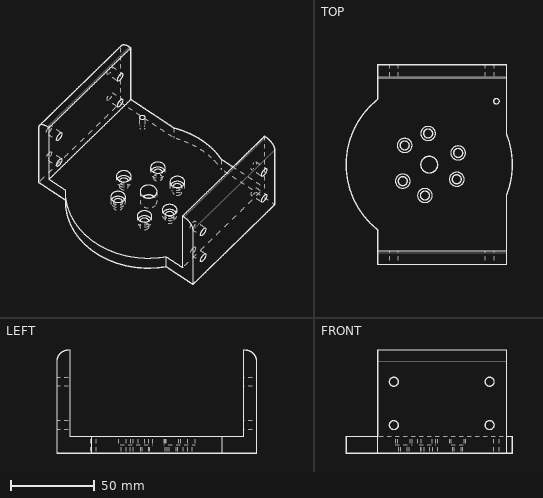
import cadquery as cq
import math

length = 120.0
height = 62.0
floor_thickness = 10.1
wall_thickness = 8.0
wall_edge_radius = 7.0
left_side = -31.0
right_side = 46.5

disc_diameter = 100.0
center_hole_diameter = 10.0

bolt_circle_radius = 18.7
bolt_set_angles = (22, 92)
bolts_per_set = 3
screw_diameter = 5.3
counterbore_diameter = 8.6
counterbore_depth = 5.0

pin_x = 40.3
pin_y = 38.0
pin_diameter = 3.2

wall_hole_xs = (-21.2, 36.2)
wall_hole_zs = (16.9, 43.0)


def make_bracket():
    width = right_side - left_side
    center_x = (left_side + right_side) / 2
    block = (
        cq.Workplane("XY")
        .center(center_x, 0)
        .box(width, length, height, centered=(True, True, False))
        .edges("|X and >Z")
        .fillet(wall_edge_radius)
    )
    channel = (
        cq.Workplane("XY", origin=(center_x, 0, floor_thickness))
        .box(width, length - 2 * wall_thickness, height, centered=(True, True, False))
    )
    return block.cut(channel)


def floor_holes(points, diameter, bottom=0.0):
    """Cylinders from the given height up to the top of the floor."""
    return (
        cq.Workplane("XY", origin=(0, 0, bottom))
        .pushPoints(points)
        .circle(diameter / 2)
        .extrude(floor_thickness - bottom)
    )


def bolt_points():
    points = []
    for start_angle in bolt_set_angles:
        for index in range(bolts_per_set):
            angle = math.radians(start_angle + index * 360 / bolts_per_set)
            points.append((bolt_circle_radius * math.cos(angle), bolt_circle_radius * math.sin(angle)))
    return points


def wall_holes():
    points = [(x, z) for x in wall_hole_xs for z in wall_hole_zs]
    return (
        cq.Workplane("XZ")
        .pushPoints(points)
        .circle(screw_diameter / 2)
        .extrude(length / 2, both=True)
    )


disc = cq.Workplane("XY").circle(disc_diameter / 2).extrude(floor_thickness)
bolts = bolt_points()
counterbore_bottom = floor_thickness - counterbore_depth

result = (
    make_bracket()
    .union(disc)
    .cut(floor_holes([(0, 0)], center_hole_diameter))
    .cut(floor_holes([(pin_x, pin_y)], pin_diameter))
    .cut(floor_holes(bolts, screw_diameter))
    .cut(floor_holes(bolts, counterbore_diameter, counterbore_bottom))
    .cut(wall_holes())
)